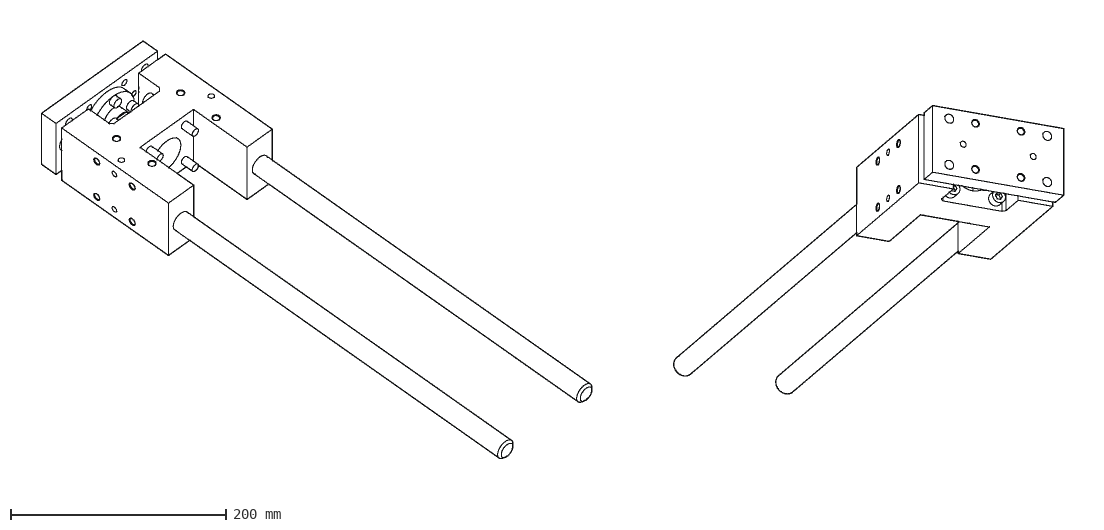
import cadquery as cq
import math

TOTAL_LENGTH = 595.0
WIDTH = 137.0
HEIGHT = 69.0
FIXING_PITCH = 46.5

PLATE_THICKNESS = 19.0
PLATE_WIDTH = 134.0
PLATE_HEIGHT = 67.0
ROD_DIAMETER = 20.0
ROD_SPACING = 104.0
ROD_CHAMFER = 2.5
CORNER_HOLE_SPACING = 100.0
CORNER_HOLE_DIAMETER = 9.0
PLATE_DOWEL_SPACING = 71.5
FLANGE_DIAMETER = 55.5
FLANGE_THICKNESS = 8.5
FLANGE_SCREW_DIAMETER = 10.0
FLANGE_SCREW_HEIGHT = 6.0
FLANGE_SCREW_CIRCLE = FLANGE_DIAMETER - FLANGE_SCREW_DIAMETER
COUPLING_DIAMETER = 24.0
COUPLING_LENGTH = 20.0
FLAT_LENGTH = 9.5
ACROSS_FLATS = 20.0

HOUSING_GAP = 9.0
HOUSING_LENGTH = 140.0
HOUSING_BOTTOM = -34.0
FRONT_SLOT_DEPTH = 30.5
FRONT_SLOT_WIDTH = 66.0
FRONT_SLOT_CHAMFER = 3.0
REAR_SLOT_DEPTH = 70.0
REAR_SLOT_WIDTH = 70.0
WEB_BORE_DIAMETER = 37.0
WEB_HEAD_DIAMETER = 13.0
WEB_HEAD_LENGTH = 9.0
WEB_SOCKET_ACROSS_FLATS = 6.0
WEB_SOCKET_DEPTH = 4.0
WEB_SHANK_DIAMETER = 8.5
WEB_SHANK_LENGTH = 14.0
FIXING_OFFSET = 69.0
TOP_FIXING_SPACING = 84.5
TOP_DOWEL_SPACING = 118.5

THREAD_DIAMETER = 6.5
THREAD_MOUTH_DIAMETER = 8.0
THREAD_DEPTH = 15.0
DOWEL_DIAMETER = 6.0
DOWEL_DEPTH = 9.0

plate_bottom = -PLATE_HEIGHT / 2
housing_top = HEIGHT + HOUSING_BOTTOM
housing_front = PLATE_THICKNESS + HOUSING_GAP
housing_rear = housing_front + HOUSING_LENGTH
web_front = housing_front + FRONT_SLOT_DEPTH
web_rear = housing_rear - REAR_SLOT_DEPTH
fixing_x = housing_front + FIXING_OFFSET

X_AXIS = cq.Vector(1, 0, 0)
Y_AXIS = cq.Vector(0, 1, 0)
Z_DOWN = cq.Vector(0, 0, -1)


def cylinder(start, direction, diameter, length):
    return cq.Solid.makeCylinder(diameter / 2, length, cq.Vector(*start), direction)


def threaded_hole(start, direction, depth):
    """Tool for a thread core hole with a 45 degree lead-in at its mouth."""
    lead_in = (THREAD_MOUTH_DIAMETER - THREAD_DIAMETER) / 2
    mouth = cq.Solid.makeCone(
        THREAD_MOUTH_DIAMETER / 2, THREAD_DIAMETER / 2, lead_in, cq.Vector(*start), direction
    )
    return cylinder(start, direction, THREAD_DIAMETER, depth).fuse(mouth)


def mirrored_pairs(spacing_a, spacing_b):
    """Four points of a centred rectangular pattern."""
    return [(a * spacing_a / 2, b * spacing_b / 2) for a in (-1, 1) for b in (-1, 1)]


def block(x_start, length, width, height, bottom):
    return cq.Workplane("XY").box(length, width, height, centered=(False, True, False)).translate(
        (x_start, 0, bottom)
    )


def make_rod(side):
    start = (PLATE_THICKNESS, side * ROD_SPACING / 2, 0)
    rod = cq.Workplane(cylinder(start, X_AXIS, ROD_DIAMETER, TOTAL_LENGTH - PLATE_THICKNESS))
    return rod.faces(">X").chamfer(ROD_CHAMFER)


def make_coupling():
    """Round flange with four screw heads and a stub with two wrench flats."""
    flange_rear = PLATE_THICKNESS + FLANGE_THICKNESS
    stub_end = flange_rear + COUPLING_LENGTH
    coupling = cq.Workplane(cylinder((PLATE_THICKNESS, 0, 0), X_AXIS, FLANGE_DIAMETER, FLANGE_THICKNESS))

    stub = cq.Workplane(cylinder((flange_rear, 0, 0), X_AXIS, COUPLING_DIAMETER, COUPLING_LENGTH))
    flat_start = stub_end - FLAT_LENGTH
    flat_zone = block(flat_start, FLAT_LENGTH, COUPLING_DIAMETER, COUPLING_DIAMETER, -COUPLING_DIAMETER / 2)
    between_flats = block(flat_start, FLAT_LENGTH, COUPLING_DIAMETER, ACROSS_FLATS, -ACROSS_FLATS / 2)
    coupling = coupling.union(stub.cut(flat_zone.cut(between_flats)))

    for y, z in ((1, 0), (-1, 0), (0, 1), (0, -1)):
        centre = (flange_rear, y * FLANGE_SCREW_CIRCLE / 2, z * FLANGE_SCREW_CIRCLE / 2)
        coupling = coupling.union(
            cq.Workplane(cylinder(centre, X_AXIS, FLANGE_SCREW_DIAMETER, FLANGE_SCREW_HEIGHT))
        )
    return coupling


def make_yoke():
    plate = block(0, PLATE_THICKNESS, PLATE_WIDTH, PLATE_HEIGHT, plate_bottom)
    for y, z in mirrored_pairs(CORNER_HOLE_SPACING, FIXING_PITCH):
        plate = plate.cut(cq.Workplane(cylinder((0, y, z), X_AXIS, CORNER_HOLE_DIAMETER, PLATE_THICKNESS)))
    for y, z in mirrored_pairs(FIXING_PITCH, FIXING_PITCH):
        plate = plate.cut(cq.Workplane(threaded_hole((0, y, z), X_AXIS, PLATE_THICKNESS)))
    for side in (-1, 1):
        start = (0, side * PLATE_DOWEL_SPACING / 2, 0)
        plate = plate.cut(cq.Workplane(cylinder(start, X_AXIS, DOWEL_DIAMETER, PLATE_THICKNESS)))
    return plate.union(make_coupling()).union(make_rod(-1)).union(make_rod(1))


def make_housing_block():
    front_slot = block(housing_front, FRONT_SLOT_DEPTH, FRONT_SLOT_WIDTH, HEIGHT, HOUSING_BOTTOM)
    front_slot = front_slot.edges("|Z and >X").chamfer(FRONT_SLOT_CHAMFER)
    rear_slot = block(web_rear, REAR_SLOT_DEPTH, REAR_SLOT_WIDTH, HEIGHT, HOUSING_BOTTOM)
    body = block(housing_front, HOUSING_LENGTH, WIDTH, HEIGHT, HOUSING_BOTTOM).cut(front_slot).cut(rear_slot)
    for side in (-1, 1):
        start = (housing_front, side * ROD_SPACING / 2, 0)
        body = body.cut(cq.Workplane(cylinder(start, X_AXIS, ROD_DIAMETER, HOUSING_LENGTH)))
    web_thickness = web_rear - web_front
    return body.cut(cq.Workplane(cylinder((web_front, 0, 0), X_AXIS, WEB_BORE_DIAMETER, web_thickness)))


def hex_socket(start):
    """Tool for the hexagon socket in a web screw head."""
    across_corners = WEB_SOCKET_ACROSS_FLATS / math.cos(math.pi / 6)
    socket = cq.Workplane("YZ").polygon(6, across_corners).extrude(WEB_SOCKET_DEPTH)
    return socket.translate(start)


def add_web_screws(body):
    """Socket heads in front of the web and the shank ends behind it."""
    head_front = web_front - WEB_HEAD_LENGTH
    for y, z in mirrored_pairs(FIXING_PITCH, FIXING_PITCH):
        head = cylinder((head_front, y, z), X_AXIS, WEB_HEAD_DIAMETER, WEB_HEAD_LENGTH)
        shank = cylinder((web_rear, y, z), X_AXIS, WEB_SHANK_DIAMETER, WEB_SHANK_LENGTH)
        body = body.union(cq.Workplane(head)).union(cq.Workplane(shank)).cut(hex_socket((head_front, y, z)))
    return body


def cut_side_holes(body):
    """Threaded and dowel holes in both long side faces."""
    for side in (-1, 1):
        face_y = side * WIDTH / 2
        inward = Y_AXIS * -side
        for dx, z in mirrored_pairs(FIXING_PITCH, FIXING_PITCH):
            start = (fixing_x + dx, face_y, z)
            body = body.cut(cq.Workplane(threaded_hole(start, inward, THREAD_DEPTH)))
        for level in (-1, 1):
            start = (fixing_x, face_y, level * FIXING_PITCH / 2)
            body = body.cut(cq.Workplane(cylinder(start, inward, DOWEL_DIAMETER, DOWEL_DEPTH)))
    return body


def cut_top_holes(body):
    for dx, y in mirrored_pairs(FIXING_PITCH, TOP_FIXING_SPACING):
        start = (fixing_x + dx, y, housing_top)
        body = body.cut(cq.Workplane(threaded_hole(start, Z_DOWN, THREAD_DEPTH)))
    for side in (-1, 1):
        start = (fixing_x, side * TOP_DOWEL_SPACING / 2, housing_top)
        body = body.cut(cq.Workplane(cylinder(start, Z_DOWN, DOWEL_DIAMETER, DOWEL_DEPTH)))
    return body


yoke = make_yoke()
housing = cut_top_holes(cut_side_holes(add_web_screws(make_housing_block())))

result = cq.Compound.makeCompound([yoke.val(), housing.val()])